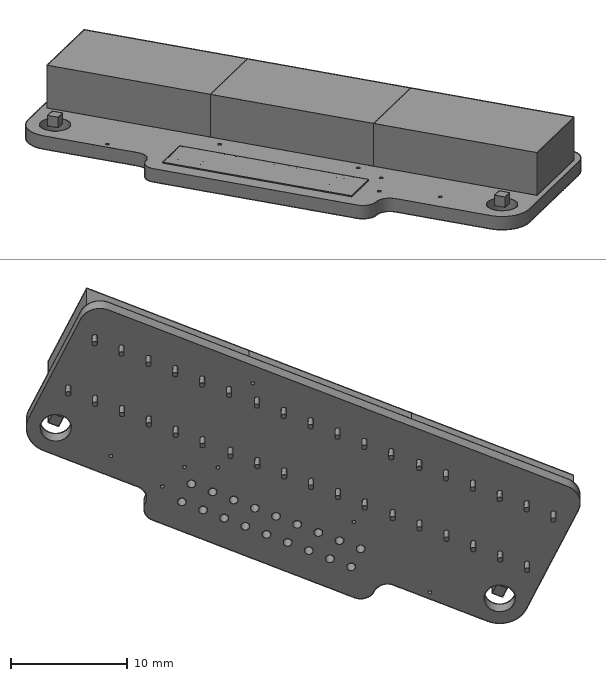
import cadquery as cq

BOARD_LENGTH = 47.0
BOARD_DEPTH = 17.75
BOARD_THICKNESS = 1.25
BACK_CORNER_RADIUS = 1.85
FRONT_CORNER_RADIUS = 2.55
TAB_WIDTH = 21.6
TAB_RADIUS = 1.25
TAB_DEPTH = 2 * TAB_RADIUS

DISPLAY_COUNT = 3
DISPLAY_WIDTH = 15.3
DISPLAY_DEPTH = 8.1
DISPLAY_HEIGHT = 4.05
DISPLAY_Y = 3.15

PIN_DIAMETER = 0.45
PIN_PROTRUSION = 1.15
PIN_COLUMNS = 6
PIN_ROWS = 2
PIN_PITCH = 2.55
PIN_ROW_SPACING = 5.55

MOUNT_HOLE_DIAMETER = 2.7
MOUNT_X = 20.95
MOUNT_Y = -3.8
POST_SIDE = 1.0
POST_HEIGHT = 1.0

PLATE_LENGTH = 17.7
PLATE_DEPTH = 3.7
PLATE_THICKNESS = 0.1
PLATE_X = -0.4
PLATE_Y = -5.65

HEADER_HOLE_DIAMETER = 0.75
HEADER_COLUMNS = 9
HEADER_ROWS = 2
HEADER_SPAN = 16.0
HEADER_PITCH = HEADER_SPAN / (HEADER_COLUMNS - 1)
HEADER_Y = -5.15

VIA_DIAMETER = 0.305
VIA_POINTS = [
    (-15.22, -5.75),
    (-6.35, -1.95),
    (6.6, -1.75),
    (9.2, -2.85),
    (10.15, -5.45),
    (15.45, -4.45),
    (7.35, 7.25),
]

MOUNT_POINTS = [(-MOUNT_X, MOUNT_Y), (MOUNT_X, MOUNT_Y)]
DISPLAY_CENTRES = [
    ((i - (DISPLAY_COUNT - 1) / 2) * DISPLAY_WIDTH, DISPLAY_Y) for i in range(DISPLAY_COUNT)
]


def display_pins(centre, length):
    """The pins of one display, hanging down from the board's top face."""
    return (
        cq.Workplane("XY")
        .center(*centre)
        .rarray(PIN_PITCH, PIN_ROW_SPACING, PIN_COLUMNS, PIN_ROWS)
        .circle(PIN_DIAMETER / 2)
        .extrude(-length)
    )


def make_display(centre):
    """A display block with its pins."""
    block = (
        cq.Workplane("XY")
        .center(*centre)
        .rect(DISPLAY_WIDTH, DISPLAY_DEPTH)
        .extrude(DISPLAY_HEIGHT)
    )
    return block.union(display_pins(centre, BOARD_THICKNESS + PIN_PROTRUSION))


def board_blank():
    """The board's outline, with a tab in the middle of its front edge joined by S-shaped ends."""
    main_depth = BOARD_DEPTH - TAB_DEPTH
    main_y = TAB_DEPTH / 2
    shoulder_y = main_y - main_depth / 2
    main = cq.Workplane("XY").center(0, main_y).rect(BOARD_LENGTH, main_depth).extrude(-BOARD_THICKNESS)
    main = main.edges("|Z and >Y").fillet(BACK_CORNER_RADIUS)
    main = main.edges("|Z and <Y").fillet(FRONT_CORNER_RADIUS)

    half_tab = TAB_WIDTH / 2
    bend_y = shoulder_y - TAB_RADIUS
    front_y = bend_y - TAB_RADIUS
    tab = (
        cq.Workplane("XY")
        .moveTo(-half_tab - TAB_RADIUS, shoulder_y)
        .radiusArc((-half_tab, bend_y), TAB_RADIUS)
        .radiusArc((-half_tab + TAB_RADIUS, front_y), -TAB_RADIUS)
        .lineTo(half_tab - TAB_RADIUS, front_y)
        .radiusArc((half_tab, bend_y), -TAB_RADIUS)
        .radiusArc((half_tab + TAB_RADIUS, shoulder_y), TAB_RADIUS)
        .close()
        .extrude(-BOARD_THICKNESS)
    )
    return main.union(tab).clean()


def through_holes(points, diameter):
    """Cutters for round holes through the whole board."""
    return cq.Workplane("XY").pushPoints(points).circle(diameter / 2).extrude(-BOARD_THICKNESS)


def header_holes():
    """Cutters for the grid of header holes below the cover plate."""
    return (
        cq.Workplane("XY")
        .center(0, HEADER_Y)
        .rarray(HEADER_PITCH, HEADER_PITCH, HEADER_COLUMNS, HEADER_ROWS)
        .circle(HEADER_HOLE_DIAMETER / 2)
        .extrude(-BOARD_THICKNESS)
    )


def make_board():
    """The circuit board with its mounting holes, vias, header holes and display pin holes."""
    board = board_blank()
    board = board.cut(through_holes(MOUNT_POINTS, MOUNT_HOLE_DIAMETER))
    board = board.cut(through_holes(VIA_POINTS, VIA_DIAMETER))
    board = board.cut(header_holes())
    for centre in DISPLAY_CENTRES:
        board = board.cut(display_pins(centre, BOARD_THICKNESS))
    return board


def make_plate():
    """The thin plate lying on the board."""
    return (
        cq.Workplane("XY")
        .center(PLATE_X, PLATE_Y)
        .rect(PLATE_LENGTH, PLATE_DEPTH)
        .extrude(PLATE_THICKNESS)
    )


def make_post(point):
    """A square post over the middle of a mounting hole, clear of the hole's rim."""
    return cq.Workplane("XY").center(*point).rect(POST_SIDE, POST_SIDE).extrude(POST_HEIGHT)


board = make_board()
displays = [make_display(centre) for centre in DISPLAY_CENTRES]
plate = make_plate()
posts = [make_post(point) for point in MOUNT_POINTS]

result = cq.Compound.makeCompound(
    [
        board.val(),
        *[display.val() for display in displays],
        plate.val(),
        *[post.val() for post in posts],
    ]
)